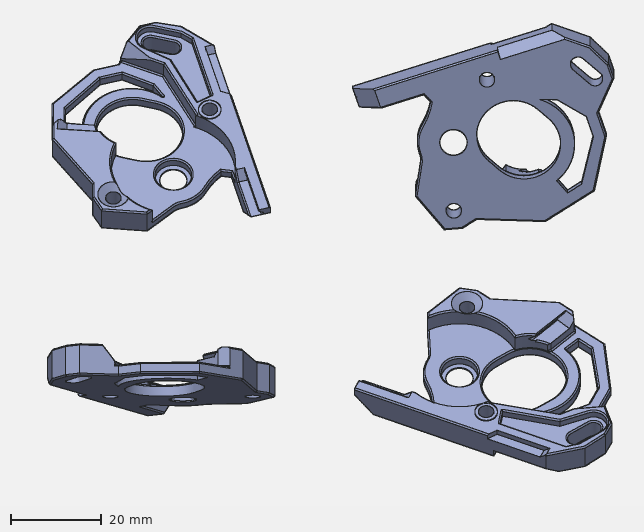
import cadquery as cq
import math

length = 56.0
width = 41.37
thickness = 7.0
floor_z = 2.5
step_z = 5.0
undercut_foot = 0.5
lip_drop = 0.35
lip_width = 0.15
chamfer = 0.35
margin = 5.0
big = 200.0

screw_d = 3.4
boss_center = (26.65, 35.6)
boss_d = 5.0
boss_height = 0.25
countersink_center = (43.25, 8.87)
countersink_d = 6.9
countersink_depth = 1.35

seat_center = (38.3, 24.0)
seat_hole_d = 6.0
seat_d = 8.1
seat_depth = 2.2
cavity_r = 13.75
seat_edge_r = 8.0

slot_lean = math.radians(30)
main_slot_center = (23.65, 18.75)
main_slot_r = 8.1
main_slot_travel = 3.1
screw_slot_center = (3.9, 28.35)
screw_slot_travel = 5.0
screw_slot_rim_r = 3.0

arm_front_y = 36.55
arm_notch = (41.1, arm_front_y)
ledge_start_x = 44.0
ledge_rear_y = 38.6
rear_ledge_start_x = 9.6
rear_ledge_end_x = 22.35
rear_ledge_y = 39.3
rear_ledge_z = 5.6
rear_ledge_end_lean = 0.7
rear_bevel = 2.2

wall_points = [(3.5, 19.04), (11.7, 29.2), (27.05, 32.4)]
facet_points = [(3.6, 23.4, thickness), (9.7, 26.95, thickness), (5.15, 21.2, 3.5)]
facet_reach = 10.0

ridge_lean = math.radians(20)
ridge_left_top = (22.35, 10.2)
ridge_left_length = 7.35
ridge_right_top = (25.55, 10.4)
ridge_climb_length = 7.15

ring_r = 11.0
ring_lower_r = 11.2


def polar(center, radius, degrees):
    angle = math.radians(degrees)
    return (center[0] + radius * math.cos(angle), center[1] + radius * math.sin(angle))


def along_lean(start, distance, lean):
    return (start[0] + distance * math.sin(lean), start[1] + distance * math.cos(lean))


def block(outline, z0, z1):
    return outline(cq.Workplane("XY").workplane(offset=z0)).extrude(z1 - z0)


def polygon(points):
    return lambda plane: plane.polyline(points).close()


def circle(center, diameter):
    return lambda plane: plane.center(*center).circle(diameter / 2)


def slot(lower, travel, radius):
    middle = along_lean(lower, travel / 2, slot_lean)
    angle = 90 - math.degrees(slot_lean)
    return lambda plane: plane.center(*middle).slot2D(travel + 2 * radius, 2 * radius, angle)


def flare(outline, top_z):
    """Cutter that breaks the upper edge of an opening at top_z."""
    plane = cq.Workplane("XY").workplane(offset=top_z - chamfer)
    return outline(plane).extrude(chamfer, taper=-45)


def opening(outline, bottom_z, top_z):
    """Cutter from bottom_z to top_z with a chamfered mouth."""
    return block(outline, bottom_z, top_z).union(flare(outline, top_z))


def outer_outline(plane):
    """Outline of the part, with the arm left too long at its free end."""
    return (
        plane.moveTo(0, 30.6)
        .lineTo(0, 26.95)
        .lineTo(5.75, 20.45)
        .lineTo(5.75, 14.75)
        .lineTo(12.3, 3.4)
        .lineTo(24.9, 0)
        .lineTo(39.15, 5.25)
        .lineTo(42.75, 4.25)
        .lineTo(46.7, 5.2)
        .lineTo(50.27, 14.65)
        .lineTo(46.9, 21.35)
        .threePointArc((46.4, 22.6), polar(seat_center, seat_edge_r, 0))
        .threePointArc(polar(seat_center, seat_edge_r, 22), polar(seat_center, seat_edge_r, 48))
        .tangentArcPoint((40.15, 34.45), relative=False)
        .lineTo(*arm_notch)
        .lineTo(length + margin, arm_front_y)
        .lineTo(length + margin, width)
        .lineTo(9.6, width)
        .lineTo(2.6, 35.8)
        .close()
    )


def trim_arm_end(body):
    """Cut the arm to length and bevel its end at 45 degrees."""
    profile = [
        (length - step_z - margin, -margin),
        (length, step_z),
        (length, thickness + margin),
        (length + 2 * margin, thickness + margin),
        (length + 2 * margin, -margin),
    ]
    return body.cut(cq.Workplane("XZ").polyline(profile).close().extrude(-big))


def floor_cutter():
    """Volume above the sunken floor; the wall feet keep a chamfer, the round wall does not."""
    ridge_foot = along_lean(ridge_left_top, -ridge_left_length, ridge_lean)
    outline = polygon(
        wall_points
        + [
            (32.5, 24.0),
            (29.0, 16.0),
            ridge_left_top,
            ridge_foot,
            (ridge_foot[0] + 3.0, ridge_foot[1] - 5.0),
            (10.0, -margin),
            (-margin, 10.0),
        ]
    )
    straight = block(outline, floor_z, thickness + margin).faces("<Z").edges().chamfer(chamfer)
    below = block(outline, 0, floor_z)
    disc = block(circle(seat_center, 2 * cavity_r), 0, thickness + margin)
    return straight.union(below).union(disc)


def wall_edge_break():
    """Chamfer along the top of the straight wall and of the front half of the round wall."""
    outline = polygon(wall_points + [(30.0, 20.0), (10.0, 10.0)])
    front_half = cq.Workplane("XY").box(big, big, big).translate((0, seat_center[1] - big / 2, 0))
    round_break = flare(circle(seat_center, 2 * cavity_r), thickness).intersect(front_half)
    return flare(outline, thickness).union(round_break)


def facet_cutter():
    """Space above the sloping facet at the free end of the wall."""
    a, b, c = [cq.Vector(*point) for point in facet_points]
    facet_plane = cq.Plane(origin=a.toTuple(), xDir=(b - a).toTuple(), normal=(c - a).cross(b - a).toTuple())
    above_facet = cq.Workplane(facet_plane).rect(2 * facet_reach, 2 * facet_reach).extrude(facet_reach)
    above_floor = cq.Workplane("XY").box(big, big, thickness, centered=(True, True, False))
    return above_facet.intersect(above_floor.translate((0, 0, floor_z)))


def undercut_step(plane, run):
    """Step down to step_z beside an undercut wall.

    In the given plane x points away from the wall and y up; the lip of the wall lies at x = 0.
    """
    lip_z = thickness - lip_drop
    root_z = step_z + undercut_foot
    root_depth = lip_z - root_z
    top_z = thickness + margin
    profile = [
        (margin, step_z),
        (undercut_foot - root_depth, step_z),
        (-root_depth, root_z),
        (0, lip_z),
        (-lip_width, thickness),
        (-lip_width, top_z),
        (margin, top_z),
    ]
    return cq.Workplane(plane).polyline(profile).close().extrude(run)


def ridge_cutter():
    """Channel that lowers the ridge to step_z and climbs back to the top at its outer end."""
    outward = (-math.sin(ridge_lean), -math.cos(ridge_lean), 0)
    inward = (math.sin(ridge_lean), math.cos(ridge_lean), 0)
    away_from_wall = (-math.cos(ridge_lean), math.sin(ridge_lean), 0)
    start = (*along_lean(ridge_right_top, margin, ridge_lean), 0)
    run = 3 * margin
    channel = undercut_step(cq.Plane(origin=start, xDir=away_from_wall, normal=inward), -run)
    rise = thickness + margin - step_z
    climb_start = margin + ridge_climb_length
    climb = [
        (0, step_z - chamfer),
        (climb_start - chamfer, step_z - chamfer),
        (climb_start + rise, step_z + rise),
        (0, step_z + rise),
    ]
    side = cq.Plane(origin=start, xDir=outward, normal=away_from_wall)
    channel = channel.intersect(cq.Workplane(side).polyline(climb).close().extrude(margin, both=True))
    inner_break = flare(main_slot, step_z).intersect(cq.Workplane(side).polyline(climb).close().extrude(margin))
    return channel.union(inner_break)


def left_recess(plane):
    """Outline of the left recess, rounded around the lower end of the screw slot."""
    return (
        plane.moveTo(6.7, 37.1)
        .lineTo(22.65, 37.1)
        .lineTo(23.55, 33.65)
        .lineTo(10.8, 31.1)
        .lineTo(*polar(screw_slot_center, screw_slot_rim_r, -45))
        .threePointArc(
            polar(screw_slot_center, screw_slot_rim_r, -100),
            polar(screw_slot_center, screw_slot_rim_r, 155),
        )
        .lineTo(4.4, 35.2)
        .close()
    )


def arm_ledge_cutter():
    """Step along the front of the arm with a 45 degree start and an undercut wall."""
    rise = thickness - step_z
    profile = [
        (ledge_start_x, thickness),
        (ledge_start_x + rise, step_z),
        (length + margin, step_z),
        (length + margin, thickness),
    ]
    sloped_start = cq.Workplane("XZ").polyline(profile).close().extrude(-big)
    wall_plane = cq.Plane(origin=(0, ledge_rear_y, 0), xDir=(0, -1, 0), normal=(-1, 0, 0))
    return undercut_step(wall_plane, -big).intersect(sloped_start)


def break_arm_edge(body):
    """Chamfer the front edge of the arm along the ledge, its sloping start and the end bevel."""
    rise = thickness - step_z
    middles = [
        (ledge_start_x + rise / 2, arm_front_y, thickness - rise / 2),
        ((ledge_start_x + rise + length) / 2, arm_front_y, step_z),
        (length - step_z / 2, arm_front_y, step_z / 2),
    ]
    edges = [body.edges(cq.selectors.NearestToPointSelector(middle)).val() for middle in middles]
    return body.newObject(edges).chamfer(chamfer)


def rear_ledge_cutter():
    """Step along the rear edge of the left block, closed by a leaning end wall."""
    rise = thickness - rear_ledge_z
    profile = [
        (rear_ledge_start_x, thickness),
        (rear_ledge_start_x + rise, rear_ledge_z),
        (length, rear_ledge_z),
        (length, thickness),
    ]
    step = cq.Workplane("XZ", origin=(0, rear_ledge_y, 0)).polyline(profile).close().extrude(-margin)
    depth = width - rear_ledge_y
    plan = [
        (0, rear_ledge_y),
        (rear_ledge_end_x, rear_ledge_y),
        (rear_ledge_end_x + depth * rear_ledge_end_lean, width),
        (0, width),
    ]
    return step.intersect(block(polygon(plan), 0, thickness))


def rear_bevel_cutter():
    """Bevel under the rear edge, as long as the ledge above it."""
    profile = [(width - rear_bevel, 0), (width, 0), (width, rear_bevel)]
    return cq.Workplane("YZ").polyline(profile).close().extrude(rear_ledge_end_x)


def ring_window(plane):
    """Window beside the large slot, bounded by a ring around its lower end."""
    return (
        plane.moveTo(*polar(main_slot_center, ring_r, 127))
        .lineTo(13.45, 26.3)
        .lineTo(8.55, 20.55)
        .lineTo(8.55, 15.5)
        .lineTo(14.45, 5.9)
        .lineTo(18.05, 4.9)
        .lineTo(*polar(main_slot_center, ring_lower_r, 248))
        .threePointArc(
            polar(main_slot_center, ring_lower_r, 185), polar(main_slot_center, ring_r, 127)
        )
        .close()
    )


def countersink_cutter():
    """Through hole with a conical mouth at the top face."""
    cone = cq.Solid.makeCone(
        screw_d / 2, countersink_d / 2, countersink_depth,
        pnt=cq.Vector(*countersink_center, thickness - countersink_depth),
    )
    return block(circle(countersink_center, screw_d), -margin, thickness).union(cq.Workplane(cone))


main_slot = slot(main_slot_center, main_slot_travel, main_slot_r)
screw_slot = slot(screw_slot_center, screw_slot_travel, screw_d / 2)

raised = block(outer_outline, 0, thickness)
raised = raised.faces("<Z or >Z").edges().chamfer(chamfer)
base = block(outer_outline, 0, floor_z)
base = base.faces("<Z or >Z").edges().chamfer(chamfer)
body = raised.cut(floor_cutter()).union(base)
body = body.cut(wall_edge_break())
body = body.cut(facet_cutter())
body = body.cut(ridge_cutter())
body = body.cut(opening(main_slot, -margin, thickness))

body = trim_arm_end(body)
body = break_arm_edge(body.cut(arm_ledge_cutter()))
body = body.cut(rear_ledge_cutter())
body = body.cut(rear_bevel_cutter())
body = body.cut(opening(left_recess, step_z, thickness))

body = body.cut(opening(main_slot, -margin, floor_z))
body = body.cut(opening(ring_window, -margin, floor_z))
body = body.cut(opening(screw_slot, -margin, step_z))
body = body.cut(opening(circle(seat_center, seat_d), floor_z - seat_depth, floor_z))
body = body.cut(block(circle(seat_center, seat_hole_d), -margin, floor_z))

body = body.union(block(circle(boss_center, boss_d), floor_z, thickness + boss_height))
body = body.cut(block(circle(boss_center, screw_d), -margin, thickness + margin))
body = body.cut(countersink_cutter())

result = body